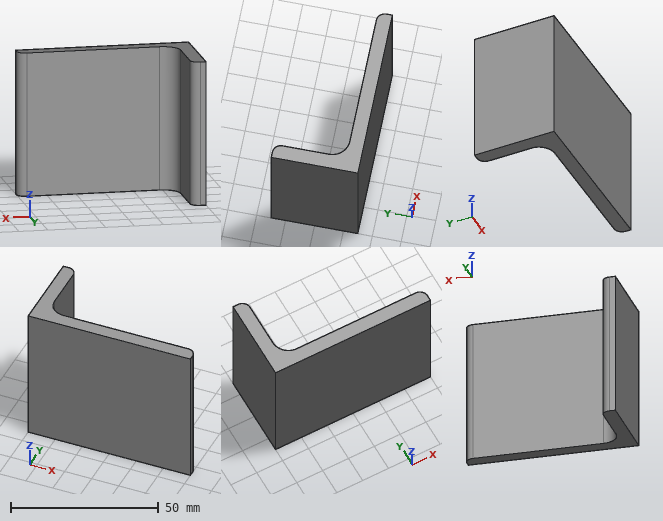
import cadquery as cq

long_leg = 60.0
short_leg = 30.0
thickness = 5.0
length = 50.0
root_radius = 6.0
toe_radius = 3.0


def angle_blank():
    """Sharp-cornered L profile with its outer corner at the origin."""
    outline = [
        (0, 0),
        (long_leg, 0),
        (long_leg, thickness),
        (thickness, thickness),
        (thickness, short_leg),
        (0, short_leg),
    ]
    return cq.Workplane("XY").polyline(outline).close().extrude(length)


def round_edge(body, x, y, radius):
    """Fillet the vertical edge nearest to the profile corner (x, y)."""
    corner = cq.selectors.NearestToPointSelector((x, y, length / 2))
    return body.edges("|Z").edges(corner).fillet(radius)


result = angle_blank()
result = round_edge(result, thickness, thickness, root_radius)
result = round_edge(result, long_leg, thickness, toe_radius)
result = round_edge(result, thickness, short_leg, toe_radius)